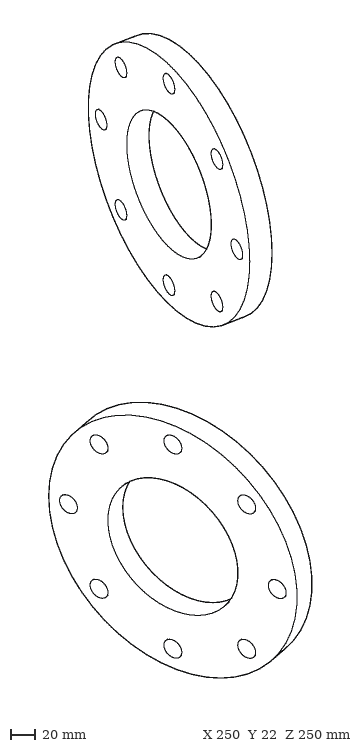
import cadquery as cq

outer_diameter = 250.0
thickness = 22.0
bore_diameter = 130.8
bolt_circle_diameter = 210.0
bolt_hole_diameter = 18.0
bolt_hole_count = 8


def make_ring():
    """Plate with its central bore, front face at negative Y."""
    return (
        cq.Workplane("XZ")
        .circle(outer_diameter / 2)
        .circle(bore_diameter / 2)
        .extrude(thickness)
    )


def drill_bolt_holes(ring):
    """Drill the through holes, evenly spaced on the bolt circle."""
    return (
        ring.faces("<Y")
        .workplane(origin=(0, 0, 0))
        .polarArray(bolt_circle_diameter / 2, 0, 360, bolt_hole_count)
        .hole(bolt_hole_diameter)
    )


result = drill_bolt_holes(make_ring())